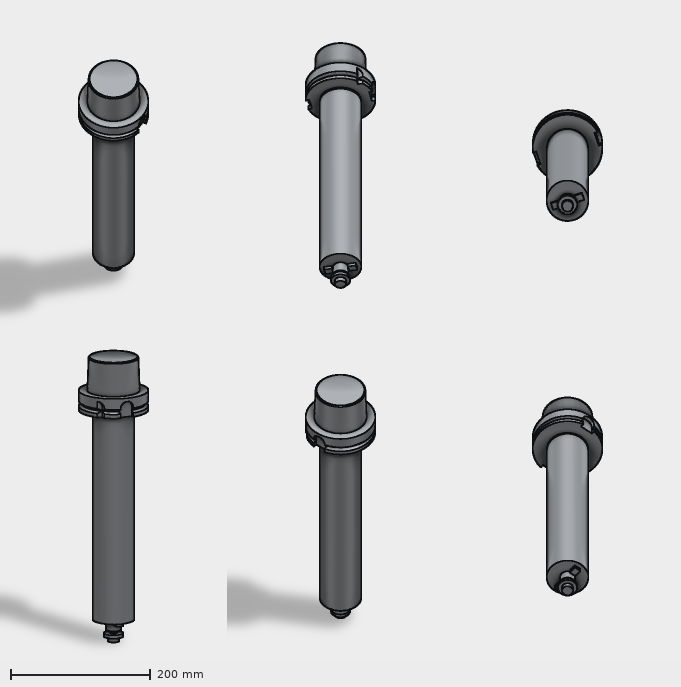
import cadquery as cq

total_height = 422.5

taper_height = 50.0
taper_base_diameter = 75.5
taper_top_diameter = 72.0
taper_edge_chamfer = 1.5

flange_diameter = 100.0
flange_height = 29.0
groove_floor_diameter = 90.0
groove_top_depth = 16.0
groove_width = 7.0
groove_flank_height = 3.0

slot_width = 20.0
slot_top_depth = 5.0
drive_slot_floor_x = 44.0

notch_center_y = 41.0
notch_floor_x = -31.5

body_diameter = 60.0
body_length = 311.0
neck_diameter = 59.0
neck_height = 2.5

pilot_diameter = 22.0
pilot_length = 16.5
pilot_end_diameter = 21.5
pilot_relief_height = 1.3
pilot_relief_taper_height = 1.3
pilot_land_height = 1.3
key_width = 10.0
key_height = 5.0
key_span = 47.0
key_gap = 23.2

screw_neck_diameter = 10.0
screw_neck_length = 4.0
washer_diameter = 28.0
washer_height = 5.0
screw_head_diameter = 16.0

flange_top_z = total_height - taper_height
flange_bottom_z = flange_top_z - flange_height
body_bottom_z = flange_bottom_z - body_length
pilot_bottom_z = body_bottom_z - pilot_length
washer_top_z = pilot_bottom_z - screw_neck_length
washer_bottom_z = washer_top_z - washer_height


def cylinder(diameter, bottom_z, top_z):
    return cq.Workplane("XY").workplane(offset=bottom_z).circle(diameter / 2).extrude(top_z - bottom_z)


def revolve_profile(points):
    """Turn a closed outline of (radius, z) points about the Z axis."""
    return cq.Workplane("XZ").polyline(points).close().revolve(360, (0, 0), (0, 1))


def make_taper():
    profile = [
        (0, flange_top_z),
        (taper_base_diameter / 2, flange_top_z),
        (taper_top_diameter / 2, total_height),
        (0, total_height),
    ]
    taper = revolve_profile(profile)
    return taper.faces(">Z").chamfer(taper_edge_chamfer)


def make_groove():
    top_z = flange_top_z - groove_top_depth
    bottom_z = top_z - groove_width
    rim = flange_diameter / 2
    floor = groove_floor_diameter / 2
    profile = [
        (rim, top_z),
        (floor, top_z - groove_flank_height),
        (floor, bottom_z + groove_flank_height),
        (rim, bottom_z),
    ]
    return revolve_profile(profile)


def round_ended_slot(floor_distance):
    half_width = slot_width / 2
    arc_z = flange_top_z - slot_top_depth - half_width
    return (
        cq.Workplane("YZ")
        .workplane(offset=floor_distance)
        .moveTo(-half_width, flange_bottom_z)
        .lineTo(-half_width, arc_z)
        .threePointArc((0, arc_z + half_width), (half_width, arc_z))
        .lineTo(half_width, flange_bottom_z)
        .close()
        .extrude(flange_diameter / 2)
    )


def make_flange():
    flange = cylinder(flange_diameter, flange_bottom_z, flange_top_z).cut(make_groove())
    drive_slot = round_ended_slot(drive_slot_floor_x)
    for angle in (0, 180):
        flange = flange.cut(drive_slot.rotate((0, 0, 0), (0, 0, 1), angle))
    notch = round_ended_slot(-notch_floor_x)
    notch = notch.mirror("YZ").translate((0, notch_center_y, 0))
    return flange.cut(notch)


def make_body():
    neck_bottom_z = flange_bottom_z - neck_height
    neck = cylinder(neck_diameter, neck_bottom_z, flange_bottom_z)
    return cylinder(body_diameter, body_bottom_z, neck_bottom_z).union(neck)


def make_pilot():
    relief_z = body_bottom_z - pilot_relief_height
    land_z = pilot_bottom_z + pilot_land_height
    barrel_radius = pilot_diameter / 2
    end_radius = pilot_end_diameter / 2
    profile = [
        (0, pilot_bottom_z),
        (end_radius, pilot_bottom_z),
        (end_radius, land_z),
        (barrel_radius, land_z),
        (barrel_radius, relief_z - pilot_relief_taper_height),
        (end_radius, relief_z),
        (end_radius, body_bottom_z),
        (0, body_bottom_z),
    ]
    return revolve_profile(profile)


def make_keys():
    key_length = (key_span - key_gap) / 2
    key_center_x = (key_span + key_gap) / 4
    return (
        cq.Workplane("XY")
        .workplane(offset=body_bottom_z - key_height)
        .pushPoints([(-key_center_x, 0), (key_center_x, 0)])
        .rect(key_length, key_width)
        .extrude(key_height)
    )


def make_screw():
    neck = cylinder(screw_neck_diameter, washer_top_z, pilot_bottom_z)
    washer = cylinder(washer_diameter, washer_bottom_z, washer_top_z)
    head = cylinder(screw_head_diameter, 0, washer_bottom_z)
    return neck.union(washer).union(head)


result = (
    make_taper()
    .union(make_flange())
    .union(make_body())
    .union(make_pilot())
    .union(make_keys())
    .union(make_screw())
)